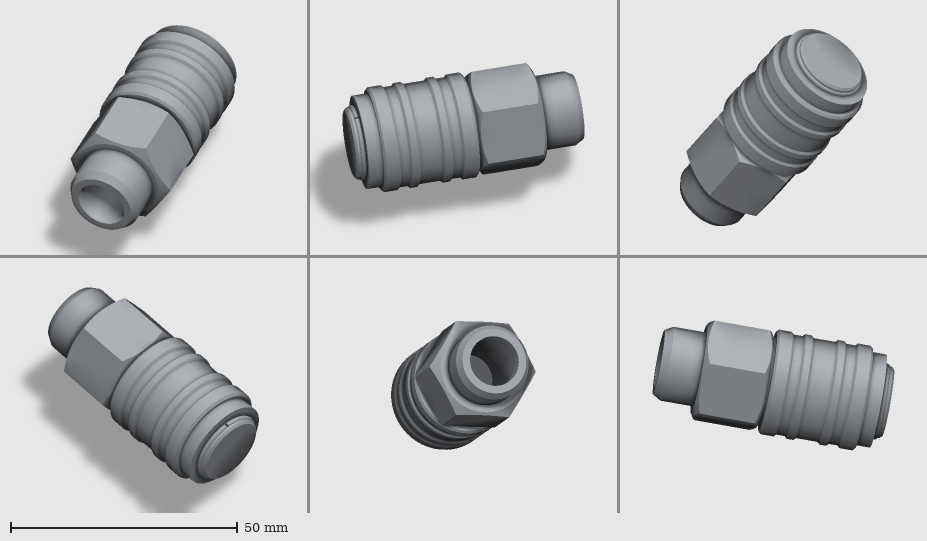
import cadquery as cq
import math

overall_length = 51.5

spigot_radius = 8.3
spigot_tip_radius = 7.25
spigot_chamfer_length = 1.8
bore_radius = 5.55
bore_depth = 23.2

hex_front = 9.0
hex_length = 15.0
hex_rear = hex_front + hex_length
hex_across_flats = 21.0
hex_across_corners = hex_across_flats / math.cos(math.radians(30))
hex_face_radius = 9.9
hex_chamfer_angle = 30.0

sleeve_front = 24.45
sleeve_length = 21.6
sleeve_rear = sleeve_front + sleeve_length
band_radius = 11.75
band_chamfer = 0.5
sleeve_radius = band_radius - band_chamfer
end_band_width = 3.85
inner_band_width = 2.45
inner_band_offset = 5.85

collar_radius = 10.45
collar_rear = 49.3
nose_radius = 8.05
nose_chamfer = 0.5

wire_radius = 0.55
ring_center_radius = 7.95
ring_y = 49.9
ring_gap = 0.5


def cylinder(radius, front, rear):
    """Cylinder about Y between two stations."""
    return cq.Workplane("XZ", origin=(0, front, 0)).circle(radius).extrude(front - rear)


def revolve_about_y(profile):
    return profile.close().revolve(360, (0, 0, 0), (0, 1, 0))


def make_spigot():
    return revolve_about_y(
        cq.Workplane("XY")
        .lineTo(spigot_tip_radius, 0)
        .lineTo(spigot_radius, spigot_chamfer_length)
        .lineTo(spigot_radius, hex_front)
        .lineTo(0, hex_front)
    )


def make_hexagon():
    """Hexagonal prism with corners on X, trimmed by a cone at each end."""
    prism = (
        cq.Workplane("XZ", origin=(0, hex_front, 0))
        .polygon(6, hex_across_corners)
        .extrude(-hex_length)
    )
    corner_radius = hex_across_corners / 2
    cone_length = (corner_radius - hex_face_radius) * math.tan(math.radians(hex_chamfer_angle))
    envelope = revolve_about_y(
        cq.Workplane("XY")
        .moveTo(0, hex_front)
        .lineTo(hex_face_radius, hex_front)
        .lineTo(corner_radius, hex_front + cone_length)
        .lineTo(corner_radius, hex_rear - cone_length)
        .lineTo(hex_face_radius, hex_rear)
        .lineTo(0, hex_rear)
    )
    return prism.intersect(envelope)


def make_band(front, width):
    """Raised band with both rims chamfered down to the sleeve surface."""
    return cylinder(band_radius, front, front + width).edges().chamfer(band_chamfer)


def make_sleeve():
    sleeve = cylinder(sleeve_radius, sleeve_front, sleeve_rear)
    for offset, width in ((0, end_band_width), (inner_band_offset, inner_band_width)):
        front_band = make_band(sleeve_front + offset, width)
        rear_band = make_band(sleeve_rear - offset - width, width)
        sleeve = sleeve.union(front_band).union(rear_band)
    return sleeve


def make_wire_torus():
    """Full ring of round wire about Y."""
    return (
        cq.Workplane("XY")
        .center(ring_center_radius, ring_y)
        .circle(wire_radius)
        .revolve(360, (-ring_center_radius, 0, 0), (-ring_center_radius, 1, 0))
    )


def make_coupling_body():
    neck = cylinder(hex_face_radius, hex_rear, sleeve_front)
    collar = cylinder(collar_radius, sleeve_rear, collar_rear)
    nose = cylinder(nose_radius, collar_rear, overall_length).faces(">Y").chamfer(nose_chamfer)
    body = make_spigot()
    for section in (make_hexagon(), neck, make_sleeve(), collar, nose):
        body = body.union(section)
    bore = cylinder(bore_radius, 0, bore_depth)
    return body.cut(bore).cut(make_wire_torus())


def make_retaining_ring():
    """Wire ring split by a narrow gap on its +Z side."""
    gap_size = 2 * ring_center_radius
    gap = cq.Workplane("XY", origin=(0, ring_y, 0)).rect(ring_gap, gap_size).extrude(gap_size)
    return make_wire_torus().cut(gap)


coupling_body = make_coupling_body()
retaining_ring = make_retaining_ring()

result = cq.Compound.makeCompound([coupling_body.val(), retaining_ring.val()])